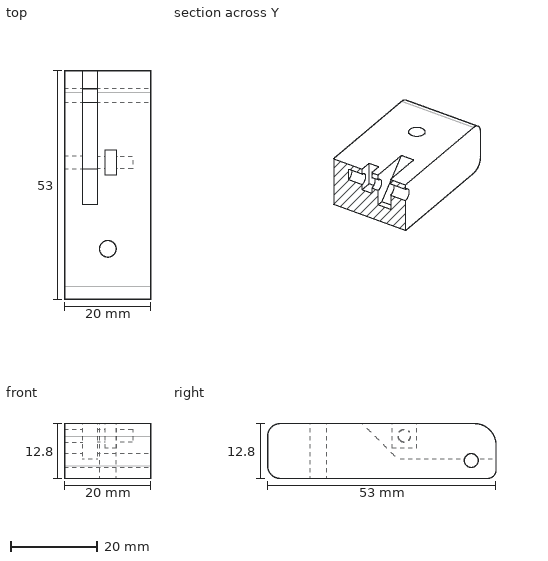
import cadquery as cq

width = 20.0
length = 53.0
height = 12.75
front_radius = 2.95
back_top_radius = 5.05
back_bottom_radius = 2.0
back_y = length / 2

slot_width = 3.4
slot_center_x = -4.15
slot_floor_z = 4.5
slot_length = 31.05
ramp_length = height - slot_floor_z

pivot_diameter = 3.2
pivot_y = back_y - 5.8
pivot_z = 4.2

screw_clearance_diameter = 3.0
screw_end_diameter = 2.8
screw_y = back_y - 21.3
screw_z = 9.9
screw_end_x = 5.85
nut_width = 5.8
nut_thickness = 2.65
nut_center_x = 0.7
nut_pocket_depth = screw_end_diameter + nut_width / 2

mount_diameter = 3.8
mount_y = -14.8


def make_block():
    block = cq.Workplane("XY").box(width, length, height, centered=(True, True, False))
    block = block.edges("|X and <Y").fillet(front_radius)
    block = block.edges("|X and >Y and >Z").fillet(back_top_radius)
    return block.edges("|X and >Y and <Z").fillet(back_bottom_radius)


def make_slot():
    ramp_top_y = back_y - slot_length
    return (
        cq.Workplane("YZ", origin=(slot_center_x - slot_width / 2, 0, 0))
        .moveTo(back_y, slot_floor_z)
        .lineTo(ramp_top_y + ramp_length, slot_floor_z)
        .lineTo(ramp_top_y, height)
        .lineTo(back_y, height)
        .close()
        .extrude(slot_width)
    )


def cross_hole(diameter, y, z, start_x, end_x):
    return cq.Workplane("YZ", origin=(start_x, y, z)).circle(diameter / 2).extrude(end_x - start_x)


def make_nut_pocket():
    return (
        cq.Workplane("XY", origin=(nut_center_x, screw_y, height))
        .rect(nut_thickness, nut_width)
        .extrude(-nut_pocket_depth)
    )


def make_mount_hole():
    return cq.Workplane("XY", origin=(0, mount_y, 0)).circle(mount_diameter / 2).extrude(height)


left_x = -width / 2
result = (
    make_block()
    .cut(make_slot())
    .cut(cross_hole(pivot_diameter, pivot_y, pivot_z, left_x, width / 2))
    .cut(cross_hole(screw_clearance_diameter, screw_y, screw_z, left_x, slot_center_x))
    .cut(cross_hole(screw_end_diameter, screw_y, screw_z, slot_center_x, screw_end_x))
    .cut(make_nut_pocket())
    .cut(make_mount_hole())
)